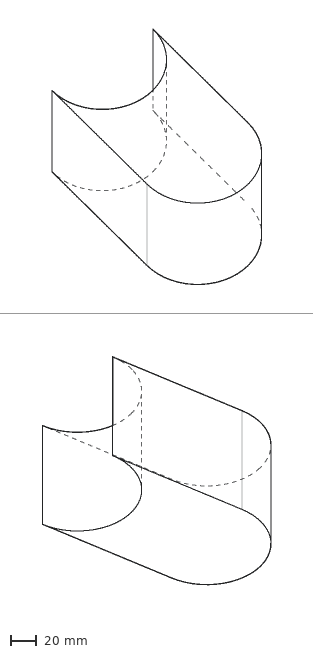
import cadquery as cq

length = 170.0
width = 100.0
height = width

end_radius = width / 2
straight_length = length - end_radius

outline = (
    cq.Workplane("XY")
    .moveTo(0, -end_radius)
    .lineTo(straight_length, -end_radius)
    .threePointArc((length, 0), (straight_length, end_radius))
    .lineTo(0, end_radius)
    .threePointArc((end_radius, 0), (0, -end_radius))
    .close()
)

result = outline.extrude(height)